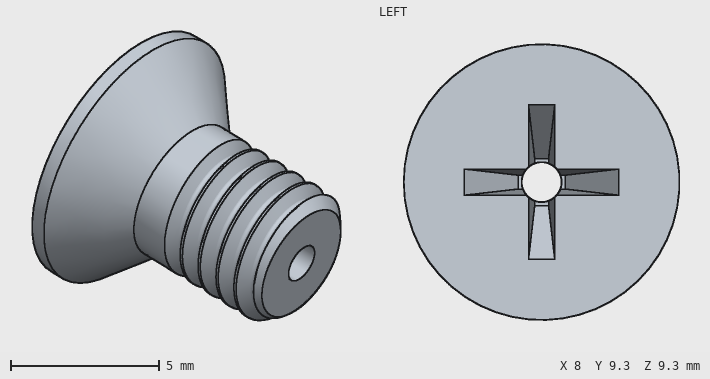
import cadquery as cq
import math

head_radius = 4.65
rim_thickness = 0.53
total_length = 8.0

shank_radius = 2.5
tip_chamfer = 0.465
pitch = 0.8
flank_angle = math.radians(30)
groove_mouth = pitch * 7 / 8
root_radius = pitch / 6 * math.cos(flank_angle)
groove_start_x = 4.08
groove_start_angle = 35.0
runout_turns = 0.4
end_overrun_turns = 0.6
mouth_overlap = 0.04

bore_radius = 0.67
recess_depth = 2.68
arm_mouth_length = 5.21
arm_mouth_width = 0.88
arm_floor_length = 1.58
arm_floor_width = 0.465

apex_depth = groove_mouth / 2 / math.tan(flank_angle)
groove_depth = apex_depth - root_radius * (1 / math.sin(flank_angle) - 1)
minor_radius = shank_radius - groove_depth


def make_body():
    """Revolve the head, its 45 degree cone, the shank and the chamfered tip about X."""
    cone_end = rim_thickness + head_radius - shank_radius
    outline = (
        cq.Workplane("XY")
        .moveTo(0, 0)
        .lineTo(0, head_radius)
        .lineTo(rim_thickness, head_radius)
        .lineTo(cone_end, shank_radius)
        .lineTo(total_length - tip_chamfer, shank_radius)
        .lineTo(total_length, shank_radius - tip_chamfer)
        .lineTo(total_length, 0)
        .close()
    )
    return outline.revolve(360, (0, 0, 0), (1, 0, 0))


def groove_profile():
    """Round-bottomed V groove in the XZ plane, slightly wider than its mouth on the shank."""
    outer_radius = shank_radius + mouth_overlap
    outer_half_width = groove_mouth / 2 + mouth_overlap * math.tan(flank_angle)
    tangent_radius = minor_radius + root_radius * (1 - math.sin(flank_angle))
    tangent_half_width = root_radius * math.cos(flank_angle)
    return (
        cq.Workplane("XZ")
        .moveTo(outer_radius, -outer_half_width)
        .lineTo(tangent_radius, -tangent_half_width)
        .threePointArc((minor_radius, 0), (tangent_radius, tangent_half_width))
        .lineTo(outer_radius, outer_half_width)
        .close()
    )


def straight_helix(turns):
    """Right-hand helix about Z at the bottom of the full-depth groove."""
    return cq.Wire.makeHelix(pitch, turns * pitch, minor_radius)


def widening_helix(turns, radius_gain):
    """Right-hand helix about Z whose radius grows by radius_gain."""
    height = turns * pitch
    cone_angle = math.atan2(radius_gain, height)
    slope = math.cos(cone_angle)
    return cq.Wire.makeHelix(
        pitch / slope, height / slope, minor_radius, angle=math.degrees(cone_angle)
    )


def sweep_groove(helix):
    """Sweep the groove along a helix, turning the profile with the curve."""
    return groove_profile().sweep(cq.Workplane(obj=helix), isFrenet=True)


def place_on_shank(cutter):
    """Turn a cutter's axis from Z to X and bring it to the start of the full-depth thread."""
    return (
        cutter.rotate((0, 0, 0), (0, 1, 0), 90)
        .rotate((0, 0, 0), (1, 0, 0), groove_start_angle + 90)
        .translate((groove_start_x, 0, 0))
    )


def cut_thread(body):
    """Cut the full-depth groove through the tip and its fading runout towards the head."""
    full_turns = (total_length - groove_start_x) / pitch + end_overrun_turns
    full_groove = sweep_groove(straight_helix(full_turns))
    runout = sweep_groove(widening_helix(runout_turns, groove_depth + mouth_overlap))
    runout = runout.rotate((0, 0, 0), (1, 0, 0), 180)
    return body.cut(place_on_shank(full_groove)).cut(place_on_shank(runout))


def cut_recess(body):
    """Cut the two tapered slots of the cross recess and the bore along the axis."""
    slot = (
        cq.Workplane("YZ")
        .rect(arm_mouth_length, arm_mouth_width)
        .workplane(offset=recess_depth)
        .rect(arm_floor_length, arm_floor_width)
        .loft(ruled=True)
    )
    for angle in (0, 90):
        body = body.cut(slot.rotate((0, 0, 0), (1, 0, 0), angle))
    bore = cq.Workplane("YZ").circle(bore_radius).extrude(total_length)
    return body.cut(bore)


result = cut_recess(cut_thread(make_body()))